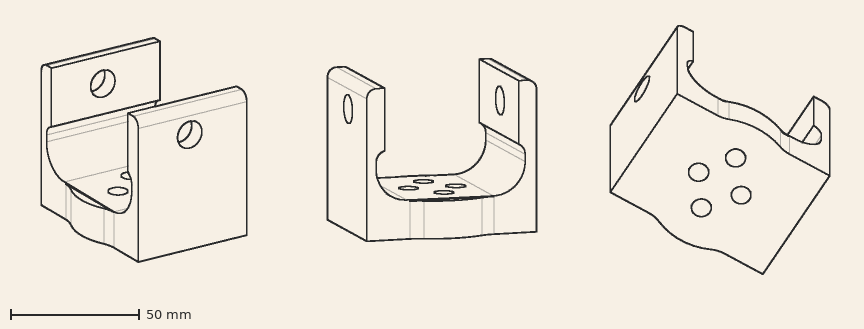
import cadquery as cq
import math

WIDTH = 69.42
TOTAL_DEPTH = 57.29
HEIGHT = 60.2
FRONT_BULGE = 3.8
BACK_BULGE = 3.1
DEPTH = TOTAL_DEPTH - FRONT_BULGE - BACK_BULGE
TOP_ROUND = 3.8

ARM_THICKNESS = 7.35
LEFT_POCKET_X = 3.85
RIGHT_POCKET_X = WIDTH - 4.7
FLOOR_LEFT = (16.35, 15.5)
FLOOR_RIGHT = (51.8, 15.2)
LOWER_TANGENT_Z = 28.1
UPPER_TANGENT_Z = 31.0
LEFT_LIP_Z = 35.4
RIGHT_LIP_Z = 35.1

BULGE_HEIGHT = 14.95
BULGE_CENTER_X = WIDTH / 2
BULGE_BLEND_RADIUS = 12.6
FRONT_BULGE_HALF_WIDTH = 17.15
BACK_BULGE_HALF_WIDTH = 16.3
BULGE_OVERLAP = 5.0

BASE_HOLES = [
    (25.15, 25.3, 7.6),
    (44.5, 25.3, 7.82),
    (35.4, 38.1, 7.73),
    (35.55, 12.55, 7.73),
]

PIN_DIAMETER = 11.23
PIN_Y = 23.9
PIN_Z = 48.3


def lip_radius(reach, rise):
    """Radius of an arc that leaves a vertical wall and moves by reach and rise."""
    return (reach**2 + rise**2) / (2 * reach)


def make_body():
    left_arm_x = ARM_THICKNESS
    right_arm_x = WIDTH - ARM_THICKNESS
    left_lip = lip_radius(left_arm_x - LEFT_POCKET_X, LEFT_LIP_Z - UPPER_TANGENT_Z)
    right_lip = lip_radius(RIGHT_POCKET_X - right_arm_x, RIGHT_LIP_Z - UPPER_TANGENT_Z)
    left_corner = FLOOR_LEFT[0] - LEFT_POCKET_X
    right_corner = RIGHT_POCKET_X - FLOOR_RIGHT[0]
    profile = (
        cq.Workplane("XZ")
        .moveTo(0, 0)
        .lineTo(WIDTH, 0)
        .lineTo(WIDTH, HEIGHT - TOP_ROUND)
        .radiusArc((WIDTH - TOP_ROUND, HEIGHT), -TOP_ROUND)
        .lineTo(right_arm_x, HEIGHT)
        .lineTo(right_arm_x, RIGHT_LIP_Z)
        .radiusArc((RIGHT_POCKET_X, UPPER_TANGENT_Z), right_lip)
        .lineTo(RIGHT_POCKET_X, LOWER_TANGENT_Z)
        .radiusArc(FLOOR_RIGHT, right_corner)
        .lineTo(*FLOOR_LEFT)
        .radiusArc((LEFT_POCKET_X, LOWER_TANGENT_Z), left_corner)
        .lineTo(LEFT_POCKET_X, UPPER_TANGENT_Z)
        .radiusArc((left_arm_x, LEFT_LIP_Z), left_lip)
        .lineTo(left_arm_x, HEIGHT)
        .lineTo(TOP_ROUND, HEIGHT)
        .radiusArc((0, HEIGHT - TOP_ROUND), -TOP_ROUND)
        .close()
    )
    return profile.extrude(-DEPTH)


def make_bulge(face_y, outward, reach, half_width):
    """Convex crest with tangent concave blends; outward is -1 (front) or 1 (back)."""
    end_angle = 2 * math.atan(reach / half_width)
    crest_radius = half_width / math.sin(end_angle) - BULGE_BLEND_RADIUS
    crest_half = crest_radius * math.sin(end_angle)
    blend_rise = BULGE_BLEND_RADIUS * (1 - math.cos(end_angle))
    inner_y = face_y - outward * BULGE_OVERLAP
    crest_y = face_y + outward * reach
    blend_y = face_y + outward * blend_rise
    return (
        cq.Workplane("XY")
        .moveTo(BULGE_CENTER_X - half_width, inner_y)
        .lineTo(BULGE_CENTER_X - half_width, face_y)
        .radiusArc((BULGE_CENTER_X - crest_half, blend_y), -outward * BULGE_BLEND_RADIUS)
        .threePointArc((BULGE_CENTER_X, crest_y), (BULGE_CENTER_X + crest_half, blend_y))
        .radiusArc((BULGE_CENTER_X + half_width, face_y), -outward * BULGE_BLEND_RADIUS)
        .lineTo(BULGE_CENTER_X + half_width, inner_y)
        .close()
        .extrude(BULGE_HEIGHT)
    )


def make_base_hole(x, y, diameter):
    return cq.Workplane("XY").center(x, y).circle(diameter / 2).extrude(HEIGHT)


def make_pin_hole():
    return cq.Workplane("YZ").center(PIN_Y, PIN_Z).circle(PIN_DIAMETER / 2).extrude(WIDTH)


result = make_body()
result = result.union(make_bulge(0, -1, FRONT_BULGE, FRONT_BULGE_HALF_WIDTH))
result = result.union(make_bulge(DEPTH, 1, BACK_BULGE, BACK_BULGE_HALF_WIDTH))
for hole_x, hole_y, hole_diameter in BASE_HOLES:
    result = result.cut(make_base_hole(hole_x, hole_y, hole_diameter))
result = result.cut(make_pin_hole())